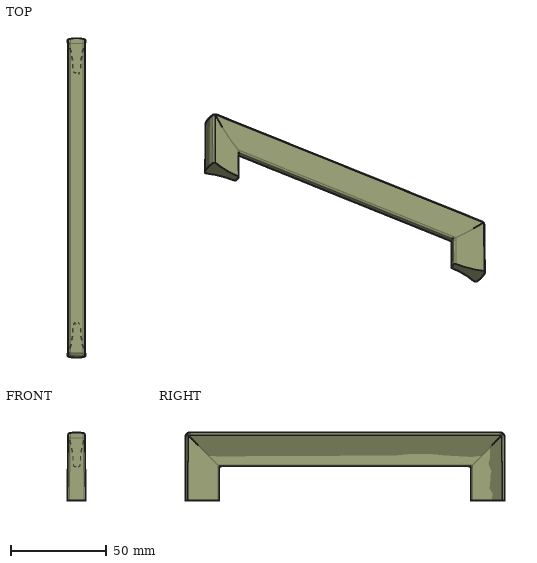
import cadquery as cq
import math

LENGTH = 168.02
HEIGHT = 35.98
FOOT_WIDTH = 10.01
BAR_WIDTH = 9.0

DEPTH = 18.0
FLANK_SPREAD = 1.15
BAR_INNER_WIDTH = 3.6
FOOT_INNER_WIDTH = 4.0
FLANK_HOLLOW = 1.0
INNER_EDGE_RADIUS = 0.9

CROWN_RADIUS = 17.0
RIM_EDGE_RADIUS = 1.4
CORNER_RADIUS = 2.8

HALF_LENGTH = LENGTH / 2
CORNER_Y = HALF_LENGTH - CORNER_RADIUS
CORNER_Z = HEIGHT - CORNER_RADIUS
OPENING_INSET_RATIO = 0.75
MITRE_STRETCH = math.sqrt(2)


def section_plane(origin, outward):
    """Plane with local X along the part's X axis and local Y along outward."""
    x_axis = cq.Vector(1, 0, 0)
    return cq.Plane(origin=origin, xDir=x_axis, normal=x_axis.cross(cq.Vector(*outward)))


def flank_section(origin, outward, rim_width, inner_width, stretch=1.0):
    """Hollow-flanked profile; stretch lengthens it along outward to suit a mitre."""
    outer = (rim_width + FLANK_SPREAD) / 2
    inner = inner_width / 2
    inside = -DEPTH * stretch
    waist = (outer + inner) / 2 - FLANK_HOLLOW
    return (
        cq.Workplane(section_plane(origin, outward))
        .moveTo(-outer, 0)
        .lineTo(outer, 0)
        .threePointArc((waist, inside / 2), (inner, inside))
        .lineTo(-inner, inside)
        .threePointArc((-waist, inside / 2), (-outer, 0))
        .close()
        .wire()
        .val()
    )


def foot_section(side):
    """Horizontal profile under the leg at the +Y (side = 1) or -Y (side = -1) end."""
    return flank_section((0, side * HALF_LENGTH, 0), (0, side, 0), FOOT_WIDTH, FOOT_INNER_WIDTH)


def mitre_section(side):
    """45 degree profile where the bar meets the leg."""
    corner = (0, side * HALF_LENGTH, HEIGHT)
    return flank_section(corner, (0, side, 1), BAR_WIDTH, BAR_INNER_WIDTH, MITRE_STRETCH)


def make_flanked_body():
    """Leg, bar and leg ruled through four profiles, with the edges of the opening rounded."""
    profiles = [foot_section(1), mitre_section(1), mitre_section(-1), foot_section(-1)]
    body = cq.Workplane(cq.Solid.makeLoft(profiles, True))
    inset = OPENING_INSET_RATIO * DEPTH
    reach_y = HALF_LENGTH - inset
    reach_z = HEIGHT - inset
    opening_edges = cq.selectors.BoxSelector(
        (-FOOT_WIDTH, -reach_y, INNER_EDGE_RADIUS), (FOOT_WIDTH, reach_y, reach_z)
    )
    return body.edges(opening_edges).fillet(INNER_EDGE_RADIUS)


def rim_section(origin, outward, width):
    """Domed and edge-rounded profile of the rim, as deep as the corner radius."""
    half = width / 2
    round_x = half - RIM_EDGE_RADIUS
    round_y = math.sqrt((CROWN_RADIUS - RIM_EDGE_RADIUS) ** 2 - round_x**2) - CROWN_RADIUS
    start_angle = math.acos(round_x / (CROWN_RADIUS - RIM_EDGE_RADIUS))
    start_x = CROWN_RADIUS * math.cos(start_angle)
    start_y = CROWN_RADIUS * math.sin(start_angle) - CROWN_RADIUS
    middle_x = round_x + RIM_EDGE_RADIUS * math.cos(start_angle / 2)
    middle_y = round_y + RIM_EDGE_RADIUS * math.sin(start_angle / 2)
    return (
        cq.Workplane(section_plane(origin, outward))
        .moveTo(-start_x, start_y)
        .threePointArc((0, 0), (start_x, start_y))
        .threePointArc((middle_x, middle_y), (half, round_y))
        .lineTo(half, -CORNER_RADIUS)
        .lineTo(-half, -CORNER_RADIUS)
        .lineTo(-half, round_y)
        .threePointArc((-middle_x, middle_y), (-start_x, start_y))
        .close()
    )


def make_rim_envelope():
    """Space bounded outside by the rim: a core block faced by bar, corner and leg strips."""
    core_width = 2 * FOOT_WIDTH
    core = cq.Workplane().box(core_width, 2 * CORNER_Y, CORNER_Z, centered=(True, True, False))
    bar = rim_section((0, CORNER_Y, HEIGHT), (0, 0, 1), BAR_WIDTH).extrude(2 * CORNER_Y)
    foot = rim_section((0, HALF_LENGTH, 0), (0, 1, 0), FOOT_WIDTH)
    top = rim_section((0, HALF_LENGTH, CORNER_Z), (0, 1, 0), BAR_WIDTH)
    leg = cq.Workplane(cq.Solid.makeLoft([foot.wire().val(), top.wire().val()], True))
    corner = top.revolve(90, (0, -CORNER_RADIUS, 0), (1, -CORNER_RADIUS, 0))
    end = leg.union(corner)
    return core.union(bar).union(end).union(end.mirror("XZ"))


result = make_flanked_body().intersect(make_rim_envelope())